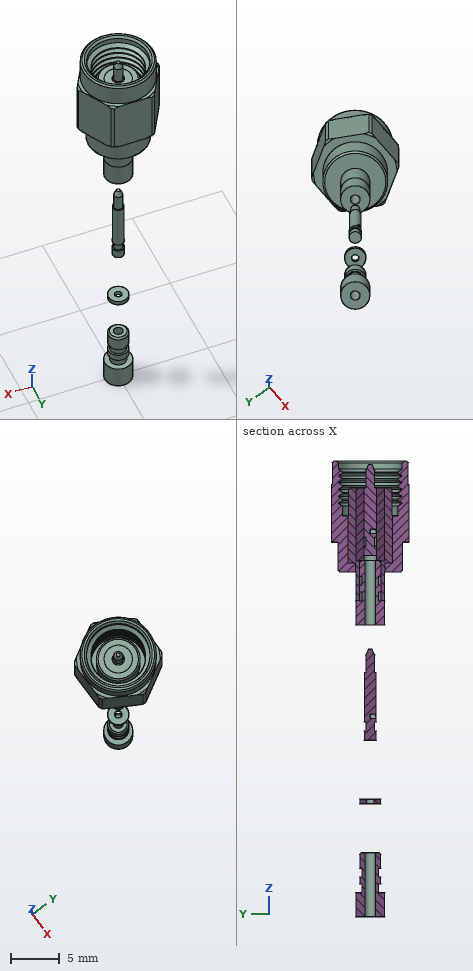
import cadquery as cq
import math

NUT_TOP = 46.8
HEX_TOP = 44.35
HEX_BOTTOM = 38.4
NUT_BOTTOM = 35.4
SLEEVE_DIAMETER = 7.8
COLLAR_DIAMETER = 6.65
HEX_ACROSS_FLATS = 8.0
HEX_ACROSS_CORNERS = 9.05
HEX_END_DIAMETER = 8.55
HEX_CHAMFER_HEIGHT = 0.15
NUT_EDGE_CHAMFER = 0.2
NUT_FLOOR = 41.2
NUT_REAR_WALL = 0.95
ENTRY_DEPTH = 0.85
ENTRY_CHAMFER = 0.25

THREAD_MINOR_DIAMETER = 5.6
THREAD_MAJOR_DIAMETER = 6.5
THREAD_PITCH = 0.7
THREAD_CREST_LAND = 0.15
THREAD_COUNT = 5

SHELL_DIAMETER = 4.5
SHELL_FACE = 44.05
SHELL_CHAMFER = 0.2
TUBE_DIAMETER = 3.0

DIELECTRIC_DIAMETER = 2.9

PIN_LENGTH = 9.35
PIN_TIP_DIAMETER = 0.4
PIN_FRONT_DIAMETER = 0.95
PIN_SHANK_DIAMETER = 1.2
PIN_REAR_DIAMETER = 1.25
PIN_NECK_DIAMETER = 0.95
PIN_CONE_BASE = 8.75
PIN_SHOULDER = 6.95
PIN_BARB_TOP = 2.3
PIN_BARB_BOTTOM = 1.85
PIN_NECK_BOTTOM = 1.0
SOLDER_HOLE_DIAMETER = 0.4

WASHER_DIAMETER = 2.2
WASHER_HOLE_DIAMETER = 0.75
WASHER_THICKNESS = 0.45

POST_LENGTH = 6.6
POST_DIAMETER = 2.2
POST_GROOVE_DIAMETER = 1.8
POST_BORE_DIAMETER = 1.0
POST_TOP_CHAMFER = 0.2
POST_COLLAR_TOP = 2.5
POST_RING_BOTTOM = 3.35
POST_RING_TOP = 4.1
POST_HEAD_BOTTOM = 4.95

LOOSE_POST_BOTTOM = 0.0
LOOSE_WASHER_BOTTOM = 11.6
LOOSE_PIN_BOTTOM = 18.1
FITTED_POST_BOTTOM = 29.95
FITTED_PIN_BOTTOM = SHELL_FACE - PIN_SHOULDER

TUBE_BOTTOM = FITTED_POST_BOTTOM + POST_COLLAR_TOP
FITTED_POST_TOP = FITTED_POST_BOTTOM + POST_LENGTH
SHELL_BOTTOM = NUT_BOTTOM + NUT_REAR_WALL


def cylinder(diameter, bottom, top):
    """Solid cylinder on the Z axis between two heights."""
    return cq.Workplane("XY").workplane(offset=bottom).circle(diameter / 2).extrude(top - bottom)


def turned(radius_height_points):
    """Solid of revolution about Z from an outline of (radius, height) points."""
    return cq.Workplane("XZ").polyline(radius_height_points).close().revolve(360, (0, 0), (0, 1))


def hexagon():
    """Hexagon with flats facing +Y and -Y and turned, chamfered corners."""
    corner_radius = HEX_ACROSS_CORNERS / 2
    end_radius = HEX_END_DIAMETER / 2
    prism = (
        cq.Workplane("XY")
        .workplane(offset=HEX_BOTTOM)
        .polygon(6, HEX_ACROSS_FLATS / math.cos(math.pi / 6))
        .extrude(HEX_TOP - HEX_BOTTOM)
    )
    turned_blank = turned([
        (0, HEX_BOTTOM),
        (end_radius, HEX_BOTTOM),
        (corner_radius, HEX_BOTTOM + HEX_CHAMFER_HEIGHT),
        (corner_radius, HEX_TOP - HEX_CHAMFER_HEIGHT),
        (end_radius, HEX_TOP),
        (0, HEX_TOP),
    ])
    return prism.intersect(turned_blank)


def thread_groove(bottom):
    """V groove filled in to the axis; a narrow crest land separates it from the next."""
    groove_height = THREAD_PITCH - THREAD_CREST_LAND
    minor_radius = THREAD_MINOR_DIAMETER / 2
    return turned([
        (0, bottom),
        (minor_radius, bottom),
        (THREAD_MAJOR_DIAMETER / 2, bottom + groove_height / 2),
        (minor_radius, bottom + groove_height),
        (0, bottom + groove_height),
    ])


def threaded_bore():
    """Space inside the nut's front: chamfered smooth entry, then V grooves down to the floor."""
    entry_radius = THREAD_MAJOR_DIAMETER / 2
    entry_bottom = NUT_TOP - ENTRY_DEPTH
    first_crest = entry_bottom - (THREAD_PITCH - THREAD_CREST_LAND) / 2
    bore = turned([
        (0, first_crest),
        (THREAD_MINOR_DIAMETER / 2, first_crest),
        (entry_radius, entry_bottom),
        (entry_radius, NUT_TOP - ENTRY_CHAMFER),
        (entry_radius + ENTRY_CHAMFER, NUT_TOP),
        (0, NUT_TOP),
    ])
    bore = bore.union(cylinder(THREAD_MINOR_DIAMETER, NUT_FLOOR, first_crest))
    for index in range(THREAD_COUNT):
        bore = bore.union(thread_groove(first_crest - (index + 1) * THREAD_PITCH))
    return bore


def make_nut():
    sleeve = cylinder(SLEEVE_DIAMETER, HEX_BOTTOM, NUT_TOP).faces(">Z").chamfer(NUT_EDGE_CHAMFER)
    collar = cylinder(COLLAR_DIAMETER, NUT_BOTTOM, HEX_TOP).faces("<Z").chamfer(NUT_EDGE_CHAMFER)
    return (
        sleeve.union(collar)
        .union(hexagon())
        .cut(threaded_bore())
        .cut(cylinder(SHELL_DIAMETER, SHELL_BOTTOM, NUT_TOP))
        .cut(cylinder(TUBE_DIAMETER, NUT_BOTTOM, NUT_TOP))
    )


def make_body():
    """Shell and tube, bored for the dielectric above and the cable post below."""
    shell = cylinder(SHELL_DIAMETER, SHELL_BOTTOM, SHELL_FACE).faces(">Z").chamfer(SHELL_CHAMFER)
    return (
        shell.union(cylinder(TUBE_DIAMETER, TUBE_BOTTOM, SHELL_FACE - SHELL_CHAMFER))
        .cut(cylinder(DIELECTRIC_DIAMETER, FITTED_POST_TOP, SHELL_FACE))
        .cut(cylinder(POST_DIAMETER, TUBE_BOTTOM, FITTED_POST_TOP))
    )


def make_dielectric():
    sleeve = cylinder(DIELECTRIC_DIAMETER, FITTED_POST_TOP, SHELL_FACE)
    return sleeve.cut(cylinder(PIN_REAR_DIAMETER, FITTED_POST_TOP, SHELL_FACE))


def make_pin(bottom):
    """Pointed contact pin with a rear barb, a neck and a solder hole on its -Y side."""
    tip = PIN_TIP_DIAMETER / 2
    front = PIN_FRONT_DIAMETER / 2
    shank = PIN_SHANK_DIAMETER / 2
    rear = PIN_REAR_DIAMETER / 2
    neck = PIN_NECK_DIAMETER / 2
    pin = turned([
        (0, 0),
        (rear, 0),
        (rear, PIN_NECK_BOTTOM),
        (neck, PIN_NECK_BOTTOM),
        (neck, PIN_BARB_BOTTOM),
        (rear, PIN_BARB_BOTTOM),
        (shank, PIN_BARB_TOP),
        (shank, PIN_SHOULDER),
        (front, PIN_SHOULDER),
        (front, PIN_CONE_BASE),
        (tip, PIN_LENGTH),
        (0, PIN_LENGTH),
    ])
    hole_radius = SOLDER_HOLE_DIAMETER / 2
    solder_hole = (
        cq.Workplane("XZ")
        .center(0, PIN_BARB_TOP + hole_radius)
        .circle(hole_radius)
        .extrude(PIN_REAR_DIAMETER)
    )
    return pin.cut(solder_hole).translate((0, 0, bottom))


def make_washer(bottom):
    top = bottom + WASHER_THICKNESS
    return cylinder(WASHER_DIAMETER, bottom, top).cut(cylinder(WASHER_HOLE_DIAMETER, bottom, top))


def make_post(bottom):
    """Bored cable post with a wide lower collar and two grooves parted by a ring."""
    post = (
        cylinder(POST_GROOVE_DIAMETER, 0, POST_LENGTH - POST_TOP_CHAMFER)
        .union(cylinder(TUBE_DIAMETER, 0, POST_COLLAR_TOP))
        .union(cylinder(POST_DIAMETER, POST_RING_BOTTOM, POST_RING_TOP))
        .union(cylinder(POST_DIAMETER, POST_HEAD_BOTTOM, POST_LENGTH).faces(">Z").chamfer(POST_TOP_CHAMFER))
        .cut(cylinder(POST_BORE_DIAMETER, 0, POST_LENGTH))
    )
    return post.translate((0, 0, bottom))


nut = make_nut()
body = make_body()
dielectric = make_dielectric()
pins = [make_pin(bottom) for bottom in (FITTED_PIN_BOTTOM, LOOSE_PIN_BOTTOM)]
washer = make_washer(LOOSE_WASHER_BOTTOM)
posts = [make_post(bottom) for bottom in (FITTED_POST_BOTTOM, LOOSE_POST_BOTTOM)]

result = cq.Compound.makeCompound([
    nut.val(),
    body.val(),
    dielectric.val(),
    *[pin.val() for pin in pins],
    washer.val(),
    *[post.val() for post in posts],
])